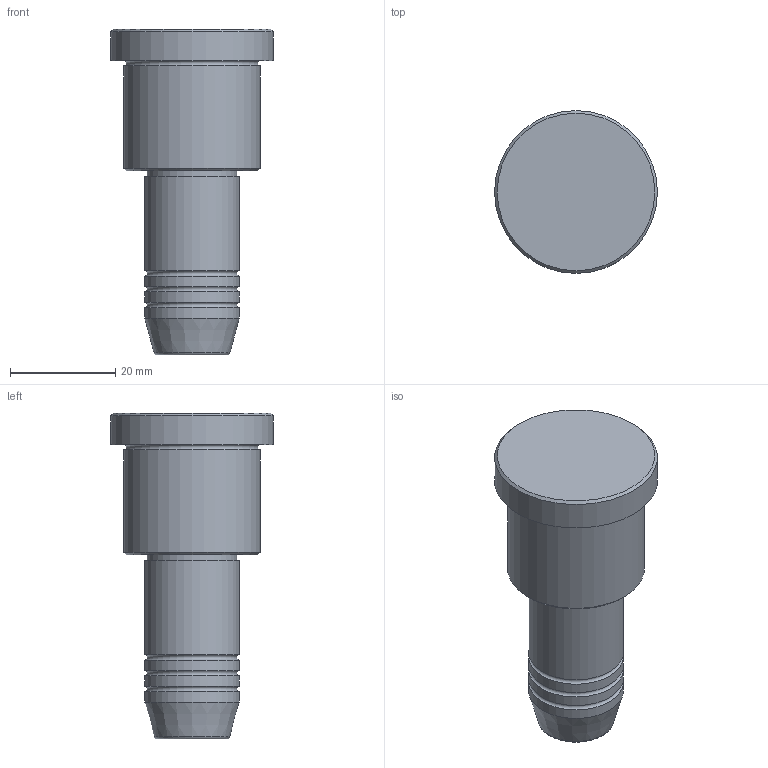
import cadquery as cq
import math


total_length = 62.0
head_height = 6.0
collar_length = 21.0
neck_length = 1.0
tip_length = 7.0

head_bottom = total_length - head_height
collar_bottom = head_bottom - collar_length
neck_bottom = collar_bottom - neck_length

head_diameter = 31.0
collar_diameter = 26.0
neck_diameter = 17.0
shank_diameter = 18.0

head_chamfer = 0.5
collar_chamfer = 0.5
tip_fillet = 0.5

tip_half_angle = 15.0
tip_end_diameter = shank_diameter - 2 * tip_length * math.tan(math.radians(tip_half_angle))

groove_radius = 0.5
groove_pitch = 3.0
shank_groove_count = 3
shank_land = 2.0
lowest_groove_z = tip_length + shank_land + groove_radius


def cylinder(diameter, bottom, top):
    return cq.Workplane("XY").workplane(offset=bottom).circle(diameter / 2).extrude(top - bottom)


def head():
    return cylinder(head_diameter, head_bottom, total_length).faces(">Z").edges().chamfer(head_chamfer)


def collar():
    return cylinder(collar_diameter, collar_bottom, head_bottom).faces("<Z").edges().chamfer(collar_chamfer)


def tip():
    cone = (
        cq.Workplane("XY")
        .circle(tip_end_diameter / 2)
        .workplane(offset=tip_length)
        .circle(shank_diameter / 2)
        .loft()
    )
    return cone.faces("<Z").edges().fillet(tip_fillet)


def groove_ring(diameter, z):
    """Ring that cuts a half-round groove centred on a cylinder's surface at height z."""
    return (
        cq.Workplane("XZ")
        .center(diameter / 2, z)
        .circle(groove_radius)
        .revolve(360, (-diameter / 2, 0), (-diameter / 2, 1))
    )


def shank():
    body = cylinder(shank_diameter, tip_length, neck_bottom)
    for index in range(shank_groove_count):
        body = body.cut(groove_ring(shank_diameter, lowest_groove_z + index * groove_pitch))
    return body


grooved_collar = collar().cut(groove_ring(collar_diameter, head_bottom - groove_radius))

neck = cylinder(neck_diameter, neck_bottom, collar_bottom)

result = head().union(grooved_collar).union(neck).union(shank()).union(tip())